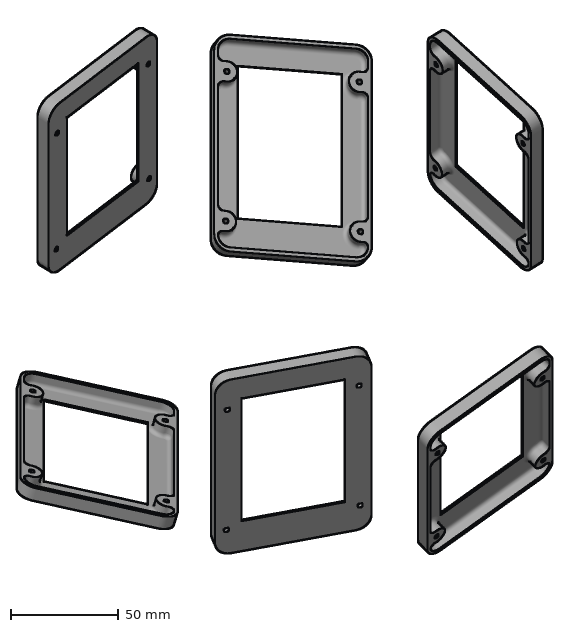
import cadquery as cq
import math

thickness = 7.0
width = 76.1
height = 106.5
corner_radius = 7.9

panel_thickness = 1.0
side_wall = 1.8
end_wall = 2.0
cavity_corner_radius = 6.0
floor_fillet = 2.0
cavity_depth = thickness - panel_thickness

window_width = 50.1
window_height = 75.0
window_center_z = 2.8

boss_radius = 5.0
boss_blend_radius = 3.0
corner_blend_diameter = 5.0
touch_tolerance = 0.01
screw_hole_diameter = 2.5
upper_boss = (32.0, 35.0)
lower_boss = (32.5, -38.5)
boss_centers = [(side * y, z) for y, z in (upper_boss, lower_boss) for side in (-1, 1)]


def open_face():
    """YZ workplane on the open face, with its normal along +X."""
    return cq.Workplane("YZ").workplane(offset=-thickness / 2)


def rounded_block(block_width, block_height, depth, radius):
    """Block with rounded corners, running from the open face into the part."""
    return open_face().rect(block_width, block_height).extrude(depth).edges("|X").fillet(radius)


def lies_on_boss(edge):
    """True for an edge along X that touches the round side of a boss."""
    middle = edge.Center()
    distances = [math.hypot(middle.y - y, middle.z - z) for y, z in boss_centers]
    return min(distances) < boss_radius + touch_tolerance


def cavity():
    """Hollow of the frame, flowing around the bosses and rounded along its floor."""
    hollow = rounded_block(width - 2 * side_wall, height - 2 * end_wall, cavity_depth, cavity_corner_radius)
    bosses = open_face().pushPoints(boss_centers).circle(boss_radius).extrude(cavity_depth)
    hollow = hollow.cut(bosses)
    neck_edges = [edge for edge in hollow.edges("|X").vals() if lies_on_boss(edge)]
    bottom_necks = [edge for edge in neck_edges if edge.Center().z < lower_boss[1]]
    other_necks = [edge for edge in neck_edges if edge.Center().z > lower_boss[1]]
    hollow = hollow.newObject(other_necks).fillet(boss_blend_radius)
    hollow = hollow.newObject(bottom_necks).fillet(corner_blend_diameter / 2)
    return hollow.faces(">X").edges().fillet(floor_fillet)


window = open_face().center(0, window_center_z).rect(window_width, window_height).extrude(thickness)
screw_holes = open_face().pushPoints(boss_centers).circle(screw_hole_diameter / 2).extrude(thickness)

frame = rounded_block(width, height, thickness, corner_radius)
result = frame.cut(cavity()).cut(window).cut(screw_holes)